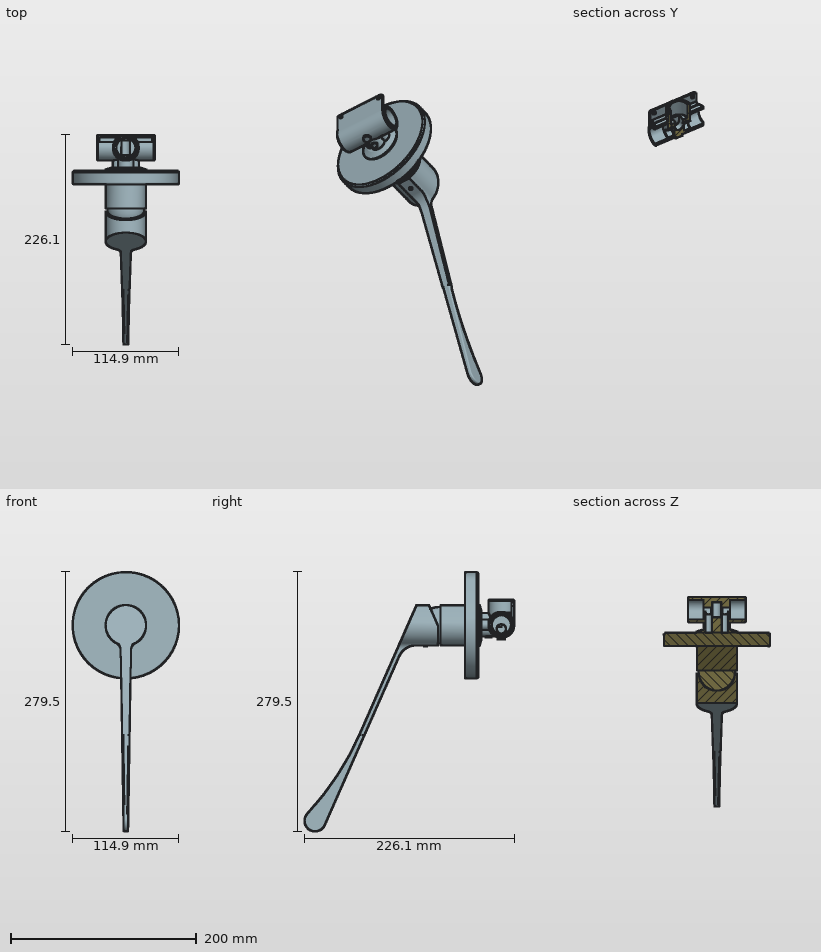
import cadquery as cq
import math


plate_radius = 57.45
plate_thickness = 14.8
plate_edge = 2.0

sleeve_radius = 21.8
sleeve_length = 26.3
sleeve_edge = 1.5
sleeve_front_y = -plate_thickness - sleeve_length

dome_radius = 19.8
dome_neck_length = 2.0
dome_centre_y = sleeve_front_y - dome_neck_length

hub_radius = sleeve_radius
handle_gap = 2.8
hub_back_y = sleeve_front_y - handle_gap
hub_top_length = 13.5
face_top_y = -66.8
lean = math.radians(23.8)
blade_thickness = 5.3
blade_root_width = 11.2
blade_tip_width = 5.0
tip_radius = 11.5
tip_bottom_z = plate_radius - 279.5
flare_start_z = -118.0
root_fillet = 19.5
neck_fillet = 8.5
blade_edge = 1.5
screw_cap_radius = 1.7
screw_cap_height = 0.8
screw_cap_y = -57.0

pipe_radius = 14.0
body_back_y = 38.5
pipe_y = body_back_y - pipe_radius
pipe_z = 0.5
pipe_length = 62.3
pipe_edge = 1.5
body_top_z = 27.7
port_radius = 10.3
port_depth = 16.8
passage_radius = 5.0
passage_drop = 4.5
passage_end_x = 6.1
boss_bore_radius = 3.4
channel_length = 15.7
channel_width = 9.5
outlet_floor_z = 8.5
bracket_width = 59.0
bracket_thickness = 2.8
bracket_corner = 3.4
bracket_bevel = 1.7
bracket_hole_radius = 1.82
bracket_hole_inset = 5.0
ledge_depth = 7.8
ledge_width = 56.5
ledge_top_z = 14.0
neck_width = 16.8
neck_height = 25.5
neck_boss_radius = 5.5
neck_boss_x = 8.7
flange_radius = 22.0
flange_top_radius = 14.8
flange_rim = 1.0
flange_height = 3.4
plug_radius = 4.2
plug_height = 2.0
neck_plug_radius = 3.4
neck_plug_height = 1.0
neck_plug_y = 10.5


def cylinder_y(radius, y_start, y_end, x=0, z=0):
    """Cylinder along Y from y_start to the lower y_end."""
    return (
        cq.Workplane("XZ", origin=(0, y_start, 0))
        .center(x, z)
        .circle(radius)
        .extrude(y_start - y_end)
    )


def cylinder_z(radius, z_start, z_end, y):
    """Upright cylinder on the plane X = 0."""
    return cq.Workplane("XY", origin=(0, y, z_start)).circle(radius).extrude(z_end - z_start)


def cylinder_x(radius, x_start, x_end, z):
    """Cylinder along X at the depth of the supply pipes."""
    return cq.Workplane("YZ", origin=(x_start, pipe_y, z)).circle(radius).extrude(x_end - x_start)


def block(width, y_low, y_high, z_low, z_high):
    """Box centred on X = 0."""
    centre = (0, (y_low + y_high) / 2, (z_low + z_high) / 2)
    return cq.Workplane("XY", origin=centre).box(width, y_high - y_low, z_high - z_low)


def make_wall_plate():
    plate = cylinder_y(plate_radius, 0, -plate_thickness)
    return plate.faces("<Y").edges().fillet(plate_edge).faces(">Y").edges().chamfer(plate_edge)


def make_sleeve():
    sleeve = cylinder_y(sleeve_radius, -plate_thickness, sleeve_front_y)
    return sleeve.faces("<Y").edges().fillet(sleeve_edge)


def make_dome():
    """Short neck on the sleeve that ends in a half ball."""
    return (
        cq.Workplane("XY")
        .moveTo(0, sleeve_front_y)
        .lineTo(dome_radius, sleeve_front_y)
        .lineTo(dome_radius, dome_centre_y)
        .radiusArc((0, dome_centre_y - dome_radius), dome_radius)
        .close()
        .revolve(360, (0, 0, 0), (0, 1, 0))
    )


def face_y(z):
    """Y of the sloping front face at height z."""
    return face_top_y - (hub_radius - z) * math.tan(lean)


def blade_back_y(z):
    """Y of the rear of the blade at height z."""
    return face_y(z) + blade_thickness / math.cos(lean)


def handle_side_profile():
    """Hub, blade and rounded tip in the YZ plane, as a slab wider than the hub."""
    slope = math.tan(lean)
    tip_z = tip_bottom_z + tip_radius
    tip_y = blade_back_y(tip_z) - tip_radius / math.cos(lean)

    flare_y = face_y(flare_start_z)
    across_y, across_z = -math.cos(lean), math.sin(lean)
    to_tip_y, to_tip_z = tip_y - flare_y, tip_z - flare_start_z
    offset = to_tip_y * across_y + to_tip_z * across_z
    distance_squared = to_tip_y**2 + to_tip_z**2
    flare_radius = (distance_squared - tip_radius**2) / (2 * (offset + tip_radius))
    centre_y = flare_y + across_y * flare_radius
    centre_z = flare_start_z + across_z * flare_radius
    reach = tip_radius / (flare_radius + tip_radius)
    flare_end = (tip_y + (centre_y - tip_y) * reach, tip_z + (centre_z - tip_z) * reach)

    tip_lowest = (tip_y, tip_z - tip_radius)
    tip_back = (tip_y + tip_radius * math.cos(lean), tip_z - tip_radius * math.sin(lean))

    corner_y = blade_back_y(-hub_radius)
    run = root_fillet * math.tan((math.pi / 2 - lean) / 2)
    fillet_end_z = -hub_radius - run * math.cos(lean)
    fillet_end = (corner_y - (-hub_radius - fillet_end_z) * slope, fillet_end_z)

    return (
        cq.Workplane("YZ", origin=(-hub_radius, 0, 0))
        .moveTo(face_top_y, hub_radius)
        .lineTo(flare_y, flare_start_z)
        .tangentArcPoint(flare_end, relative=False)
        .threePointArc(tip_lowest, tip_back)
        .lineTo(*fillet_end)
        .radiusArc((corner_y + run, -hub_radius), root_fillet)
        .lineTo(hub_back_y, -hub_radius)
        .lineTo(hub_back_y, 0)
        .lineTo(face_top_y + hub_top_length, hub_radius)
        .close()
        .extrude(2 * hub_radius)
    )


def handle_front_outline():
    """Hub circle that runs through two fillets into the tapered blade, as a long bar along Y."""
    taper = math.atan((blade_root_width - blade_tip_width) / 2 / (-hub_radius - tip_bottom_z))
    half_root = blade_root_width / 2
    half_tip = blade_tip_width / 2

    centre_x = half_root + neck_fillet
    centre_z = -math.sqrt((hub_radius + neck_fillet) ** 2 - centre_x**2)
    share = hub_radius / (hub_radius + neck_fillet)
    hub_x, hub_z = centre_x * share, centre_z * share
    side_x = centre_x - neck_fillet * math.cos(taper)
    side_z = centre_z - neck_fillet * math.sin(taper)

    return (
        cq.Workplane("XZ")
        .moveTo(-hub_x, hub_z)
        .threePointArc((0, hub_radius), (hub_x, hub_z))
        .radiusArc((side_x, side_z), -neck_fillet)
        .lineTo(half_tip, tip_bottom_z)
        .lineTo(-half_tip, tip_bottom_z)
        .lineTo(-side_x, side_z)
        .radiusArc((-hub_x, hub_z), -neck_fillet)
        .close()
        .extrude(279.5)
    )


def make_handle(dome):
    handle = handle_side_profile().intersect(handle_front_outline())
    cap = cylinder_z(screw_cap_radius, -hub_radius - screw_cap_height, -dome_radius, screw_cap_y)

    lower_space = block(4 * hub_radius, -279.5, 0, tip_bottom_z - 2.8, flare_start_z)
    flare = handle.intersect(lower_space)
    flare = flare.edges("not (|X or |Y)").fillet(blade_edge)
    return handle.cut(lower_space).union(flare).union(cap).cut(dome)


def make_bracket():
    """Upright back strip with two screw holes and a ledge along the supply pipes."""
    strip = block(bracket_width, body_back_y - bracket_thickness, body_back_y, pipe_z, body_top_z)
    strip = strip.edges("|Y and >Z").chamfer(bracket_corner)
    strip = strip.faces(">Z").edges(">Y").chamfer(bracket_bevel)
    hole_x = bracket_width / 2 - bracket_hole_inset
    for x in (-hole_x, hole_x):
        strip = strip.cut(
            cylinder_y(bracket_hole_radius, body_back_y, 0, x, body_top_z - bracket_hole_inset)
        )
    ledge = block(ledge_width, body_back_y - ledge_depth, body_back_y, pipe_z, ledge_top_z)
    return strip.union(ledge)


def make_neck():
    """Slot-shaped neck with two screw bosses and a flange against the wall plate."""
    neck = (
        cq.Workplane("XZ", origin=(0, pipe_y, pipe_z))
        .slot2D(neck_height, neck_width, 90)
        .extrude(pipe_y)
    )
    for x in (-neck_boss_x, neck_boss_x):
        neck = neck.union(cylinder_y(neck_boss_radius, pipe_y, 0, x, pipe_z))
    flange = (
        cq.Workplane("XY")
        .polyline([
            (0, 0),
            (flange_radius, 0),
            (flange_radius, flange_rim),
            (flange_top_radius, flange_height),
            (0, flange_height),
        ])
        .close()
        .revolve(360, (0, 0, 0), (0, 1, 0))
    )
    return neck.union(flange)


def cut_waterways(body):
    """Two supply ports that lead to the neck bosses, and the upper outlet."""
    half_length = pipe_length / 2
    for side in (-1, 1):
        port_floor_x = side * (half_length - port_depth)
        body = body.cut(cylinder_x(port_radius, side * half_length, port_floor_x, pipe_z))
        passage_z = pipe_z - passage_drop
        body = body.cut(cylinder_x(passage_radius, port_floor_x, side * passage_end_x, passage_z))
        body = body.cut(cylinder_y(boss_bore_radius, pipe_y, 0, side * neck_boss_x, pipe_z))
    body = body.cut(cylinder_z(port_radius, outlet_floor_z, body_top_z, pipe_y))

    channel_back = pipe_y + channel_length / 2
    channel_front = pipe_y - channel_length / 2
    channel = block(channel_width, channel_front, channel_back, pipe_z, body_top_z)
    channel = channel.union(cylinder_y(channel_width / 2, channel_back, channel_front, 0, pipe_z))
    return body.cut(channel)


def make_valve_body():
    pipes = cylinder_x(pipe_radius, -pipe_length / 2, pipe_length / 2, pipe_z)
    pipes = pipes.faces("<X or >X").edges().chamfer(pipe_edge)
    outlet = cylinder_z(pipe_radius, pipe_z, body_top_z, pipe_y)
    outlet = outlet.faces(">Z").edges().chamfer(pipe_edge)
    pipe_bottom = pipe_z - pipe_radius
    plug = cylinder_z(plug_radius, pipe_bottom - plug_height, pipe_z, pipe_y)
    neck_bottom = pipe_z - neck_height / 2
    neck_plug = cylinder_z(neck_plug_radius, neck_bottom - neck_plug_height, pipe_z, neck_plug_y)
    body = pipes.union(outlet).union(make_bracket()).union(make_neck())
    body = body.union(plug).union(neck_plug)
    return cut_waterways(body)


valve_body = make_valve_body()
wall_plate = make_wall_plate()
sleeve = make_sleeve()
dome = make_dome()
handle = make_handle(dome)

result = cq.Compound.makeCompound([
    valve_body.val(),
    wall_plate.val(),
    sleeve.val(),
    dome.val(),
    handle.val(),
])